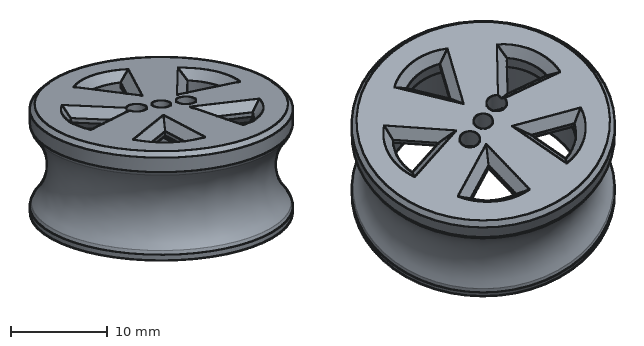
import cadquery as cq
import math

outer_radius = 13.62
height = 12.0
top_chamfer = 0.52
groove_center_height = 5.25
groove_radius_at_waist = 11.85
groove_half_height = 4.2
lip_drop = 0.4
lip_depth = 0.15

web_thickness = 2.5
cavity_diameter = 21.0

window_count = 5
window_side_length = 7.5
window_arc_radius = 6.7
window_half_angle = 30.0
window_apex_radius = 3.05
window_tilt = 1.2
window_flare = 1.0

center_hole_diameter = 2.0
side_hole_diameter = 2.1
side_hole_offset = 2.75


def wheel_body():
    """Revolve the rim section, with its concave groove, around Z."""
    lip_radius = outer_radius - lip_depth
    groove_bottom = groove_center_height - groove_half_height
    groove_top = groove_center_height + groove_half_height
    return (
        cq.Workplane("XZ")
        .lineTo(outer_radius, 0)
        .lineTo(outer_radius, groove_bottom - lip_drop)
        .lineTo(lip_radius, groove_bottom)
        .threePointArc((groove_radius_at_waist, groove_center_height), (lip_radius, groove_top))
        .lineTo(outer_radius, groove_top + lip_drop)
        .lineTo(outer_radius, height - top_chamfer)
        .lineTo(outer_radius - top_chamfer, height)
        .lineTo(0, height)
        .close()
        .revolve(360, (0, 0, 0), (0, 1, 0))
    )


def cavity():
    """Round recess open at the bottom face."""
    return cq.Workplane("XY").circle(cavity_diameter / 2).extrude(height - web_thickness)


half_angle = math.radians(window_half_angle)
half_chord = window_side_length * math.sin(half_angle)
arc_center = window_side_length * math.cos(half_angle) - math.sqrt(window_arc_radius**2 - half_chord**2)


def sector_outline(inset, level):
    """Wire of the window outline, apex on the X axis, moved inward by inset."""
    apex = inset / math.sin(half_angle)
    radius = window_arc_radius - inset
    corner_angle = half_angle + math.asin((arc_center - apex) * math.sin(half_angle) / radius)
    corner_x = arc_center + radius * math.cos(corner_angle)
    corner_y = radius * math.sin(corner_angle)
    return (
        cq.Workplane("XY", origin=(0, 0, level))
        .moveTo(apex, 0)
        .lineTo(corner_x, -corner_y)
        .threePointArc((arc_center + radius, 0), (corner_x, corner_y))
        .close()
        .val()
    )


def wedge_outline(inset, level):
    """Wire of a triangle along the window sides moved inward by inset, reaching past the arc."""
    apex = inset / math.sin(half_angle)
    reach = arc_center + window_arc_radius
    half_width = (reach - apex) * math.tan(half_angle)
    return (
        cq.Workplane("XY", origin=(0, 0, level))
        .polyline([(apex, 0), (reach, -half_width), (reach, half_width)])
        .close()
        .val()
    )


def loft(lower, upper):
    """Straight-sided solid between two wires."""
    return cq.Workplane(cq.Solid.makeLoft([lower, upper], True))


def window():
    """Window cutter pointing along +X: flared to the top, straight throat, sides flared to the underside."""
    web_bottom = height - web_thickness
    throat_top = height - window_flare
    throat_bottom = web_bottom + window_flare
    top_flare = loft(sector_outline(window_flare, throat_top), sector_outline(0, height))
    throat = loft(wedge_outline(window_flare, throat_bottom), wedge_outline(window_flare, throat_top))
    underside_flare = loft(wedge_outline(0, web_bottom), wedge_outline(window_flare, throat_bottom))
    arc_wall = (
        cq.Workplane("XY", origin=(arc_center, 0, web_bottom))
        .circle(window_arc_radius - window_flare)
        .extrude(throat_top - web_bottom)
    )
    return (
        throat.union(underside_flare)
        .intersect(arc_wall)
        .union(top_flare)
        .rotate((0, 0, 0), (0, 0, 1), window_tilt)
        .translate((window_apex_radius, 0, 0))
    )


result = wheel_body().cut(cavity())

for index in range(window_count):
    direction = -90 + index * 360 / window_count
    result = result.cut(window().rotate((0, 0, 0), (0, 0, 1), direction))

side_holes = (
    cq.Workplane("XY")
    .pushPoints([(0, side_hole_offset), (0, -side_hole_offset)])
    .circle(side_hole_diameter / 2)
    .extrude(height)
)
center_hole = cq.Workplane("XY").circle(center_hole_diameter / 2).extrude(height)
result = result.cut(side_holes).cut(center_hole)